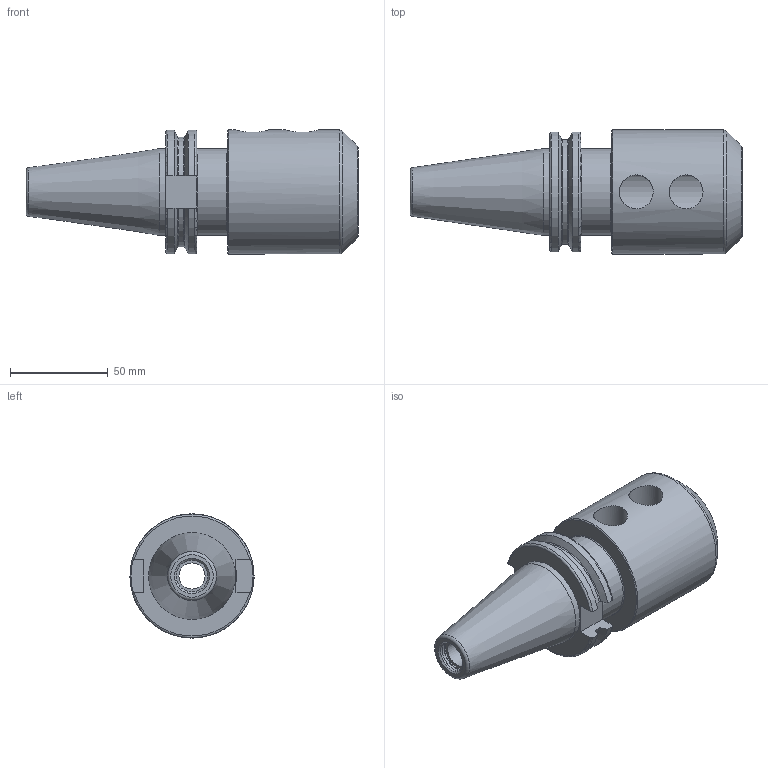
import cadquery as cq

TAPER_LENGTH = 68.25
NOSE_X = 101.6
FLANGE_BACK_X = 3.18
FLANGE_FRONT_X = 19.05
BODY_BACK_X = 34.92

GAUGE_RADIUS = 44.45 / 2
TAPER_RATIO = 7 / 24
TAIL_X = -TAPER_LENGTH
TAIL_RADIUS = GAUGE_RADIUS - TAPER_LENGTH * TAPER_RATIO / 2
TAIL_FILLET = 1.6
BODY_RADIUS = 63.5 / 2
BODY_EDGE_CHAMFER = 0.5
NOSE_CHAMFER = 8.6
NOSE_SHOULDER_FILLET = 2.2
NOSE_EDGE_FILLET = 1.2
NECK_FILLET = 0.5

FLANGE_RADIUS = BODY_RADIUS
FLANGE_EDGE_FILLET = 1.0
GROOVE_CENTER_X = 11.15
GROOVE_FLOOR_RADIUS = 56.2 / 2
GROOVE_FLOOR_WIDTH = 3.4
GROOVE_MOUTH_WIDTH = 7.3
GROOVE_FLOOR_FILLET = 0.7

SLOT_WIDTH = 16.5
SLOT_FLOOR_MINUS_Y = 22.5
SLOT_FLOOR_PLUS_Y = 25.0

THROUGH_RADIUS = 13.39 / 2
TAIL_BORE_RADIUS = 16.3 / 2
TAIL_BORE_DEPTH = 4.5
TAIL_BORE_MOUTH_RADIUS = 9.0
TOOL_BORE_RADIUS = 31.75 / 2
TOOL_BORE_MOUTH_RADIUS = 32.75 / 2
TOOL_BORE_DEPTH = 70.0

RING_GROOVE_RADIUS = 16.8 / 2
RING_GROOVE_OFFSET = 2.1
RING_GROOVE_WIDTH = 1.6

SCREW_HOLE_DIAMETER = 17.32
SCREW_HOLE_XS = (47.5, 73.0)


def frustum(x_start, x_end, radius_start, radius_end):
    """Solid of revolution about X with straight sides."""
    profile = [(x_start, 0), (x_start, radius_start), (x_end, radius_end), (x_end, 0)]
    return cq.Workplane("XY").polyline(profile).close().revolve(360, (0, 0, 0), (1, 0, 0))


def cylinder(x_start, x_end, radius):
    return frustum(x_start, x_end, radius, radius)


def circle_at(x, radius):
    """Selector for the circular edge centered on the X axis at the given station."""
    tolerance = 0.05
    reach = radius + tolerance
    corner_low = (x - tolerance, -reach, -reach)
    corner_high = (x + tolerance, reach, reach)
    return cq.selectors.BoxSelector(corner_low, corner_high, boundingbox=True)


def make_shank():
    taper = frustum(TAIL_X, 0, TAIL_RADIUS, GAUGE_RADIUS)
    taper = taper.faces("<X").edges().fillet(TAIL_FILLET)
    return taper.union(cylinder(0, BODY_BACK_X, GAUGE_RADIUS))


def make_flange():
    disc = cylinder(FLANGE_BACK_X, FLANGE_FRONT_X, FLANGE_RADIUS)
    flange = disc.edges("%CIRCLE").fillet(FLANGE_EDGE_FILLET)
    half_floor = GROOVE_FLOOR_WIDTH / 2
    half_mouth = GROOVE_MOUTH_WIDTH / 2
    groove = (
        cq.Workplane("XY")
        .moveTo(GROOVE_CENTER_X - half_mouth, FLANGE_RADIUS)
        .lineTo(GROOVE_CENTER_X - half_floor, GROOVE_FLOOR_RADIUS)
        .lineTo(GROOVE_CENTER_X + half_floor, GROOVE_FLOOR_RADIUS)
        .lineTo(GROOVE_CENTER_X + half_mouth, FLANGE_RADIUS)
        .close()
        .revolve(360, (0, 0, 0), (1, 0, 0))
    )
    groove = groove.edges(cq.selectors.RadiusNthSelector(0)).fillet(GROOVE_FLOOR_FILLET)
    return flange.cut(groove)


def make_drive_slot(floor, side):
    """Slot through the flange, open outward on the given side (+1 or -1) of Y."""
    depth = FLANGE_RADIUS - floor
    length = FLANGE_FRONT_X - FLANGE_BACK_X
    center = ((FLANGE_BACK_X + FLANGE_FRONT_X) / 2, side * (floor + depth / 2), 0)
    return cq.Workplane("XY").box(length, depth, SLOT_WIDTH).translate(center)


def make_body():
    body = cylinder(BODY_BACK_X, NOSE_X, BODY_RADIUS)
    body = body.faces("<X").edges().chamfer(BODY_EDGE_CHAMFER)
    body = body.faces(">X").edges().chamfer(NOSE_CHAMFER)
    body = body.faces(">X").edges().fillet(NOSE_EDGE_FILLET)
    shoulder = circle_at(NOSE_X - NOSE_CHAMFER, BODY_RADIUS)
    return body.edges(shoulder).fillet(NOSE_SHOULDER_FILLET)


def make_axial_bores():
    """Through hole, grooved tail bore and tool bore, each bore with a 45 degree mouth."""
    mouth = TAIL_BORE_MOUTH_RADIUS - TAIL_BORE_RADIUS
    ring_x = TAIL_X + RING_GROOVE_OFFSET
    tool_mouth = TOOL_BORE_MOUTH_RADIUS - TOOL_BORE_RADIUS
    bores = cylinder(TAIL_X, NOSE_X, THROUGH_RADIUS)
    bores = bores.union(cylinder(TAIL_X, TAIL_X + TAIL_BORE_DEPTH, TAIL_BORE_RADIUS))
    bores = bores.union(cylinder(ring_x, ring_x + RING_GROOVE_WIDTH, RING_GROOVE_RADIUS))
    bores = bores.union(frustum(TAIL_X, TAIL_X + mouth, TAIL_BORE_MOUTH_RADIUS, TAIL_BORE_RADIUS))
    bores = bores.union(cylinder(NOSE_X - TOOL_BORE_DEPTH, NOSE_X, TOOL_BORE_RADIUS))
    return bores.union(frustum(NOSE_X - tool_mouth, NOSE_X, TOOL_BORE_RADIUS, TOOL_BORE_MOUTH_RADIUS))


def make_screw_hole(x):
    return cq.Workplane("XY").center(x, 0).circle(SCREW_HOLE_DIAMETER / 2).extrude(BODY_RADIUS)


result = make_shank().union(make_flange()).union(make_body())
for neck_end_x in (FLANGE_FRONT_X, BODY_BACK_X):
    result = result.edges(circle_at(neck_end_x, GAUGE_RADIUS)).fillet(NECK_FILLET)
for slot_floor, slot_side in ((SLOT_FLOOR_MINUS_Y, -1), (SLOT_FLOOR_PLUS_Y, 1)):
    result = result.cut(make_drive_slot(slot_floor, slot_side))
result = result.cut(make_axial_bores())
for hole_x in SCREW_HOLE_XS:
    result = result.cut(make_screw_hole(hole_x))